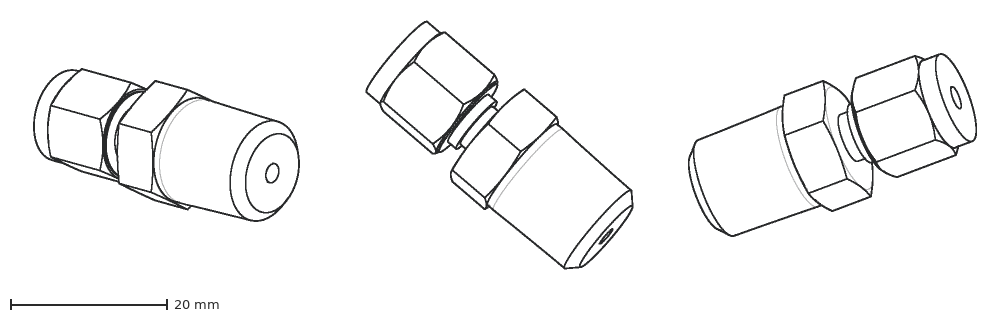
import math

import cadquery as cq

TOTAL_LENGTH = 35.6

NUT_ACROSS_FLATS = 12.0
NUT_COLLAR_DIAMETER = 11.94
NUT_COLLAR_LENGTH = 2.4
NUT_HEX_END = 11.9
NUT_CHAMFER_ANGLE = 30.0
NUT_RIM_DIAMETER = 11.4
NUT_END = 12.15

SHOULDER_DIAMETER = 8.0
SHOULDER_END = 13.55
NECK_DIAMETER = 6.4
BODY_ACROSS_FLATS = 14.0
BODY_HEX_START = 15.25
BODY_HEX_END = 21.35
BODY_CHAMFER_ANGLE = 15.0

THREAD_LARGE_DIAMETER = 13.7
THREAD_SMALL_DIAMETER = 13.15
THREAD_TAPER_START = 22.3
THREAD_CHAMFER = 1.4

TUBE_SOCKET_DIAMETER = 3.0
TUBE_SOCKET_DEPTH = NUT_END
THROUGH_BORE_DIAMETER = 2.5


def cylinder(start, end, diameter):
    """Solid cylinder along X between two stations."""
    return cq.Workplane("YZ").workplane(offset=start).circle(diameter / 2).extrude(end - start)


def revolve_profile(points):
    """Turn a closed (x, radius) outline about the X axis."""
    return cq.Workplane("XY").polyline(points).close().revolve(360, (0, 0, 0), (1, 0, 0))


def chamfered_hex(start, end, across_flats, chamfer_angle):
    """Hexagon with corners at +Z and -Z, both ends turned to a cone that meets the flats."""
    across_corners = across_flats / math.cos(math.radians(30))
    prism = (
        cq.Workplane("YZ")
        .workplane(offset=start)
        .polygon(6, across_corners)
        .extrude(end - start)
        .rotate((0, 0, 0), (1, 0, 0), 90)
    )
    face_radius = across_flats / 2
    cone_height = across_corners - face_radius
    cone_length = cone_height * math.tan(math.radians(chamfer_angle))
    envelope = revolve_profile([
        (start, 0),
        (start, face_radius),
        (start + cone_length, across_corners),
        (end - cone_length, across_corners),
        (end, face_radius),
        (end, 0),
    ])
    return prism.intersect(envelope)


def make_nut():
    collar = cylinder(0, NUT_COLLAR_LENGTH, NUT_COLLAR_DIAMETER)
    hexagon = chamfered_hex(NUT_COLLAR_LENGTH, NUT_HEX_END, NUT_ACROSS_FLATS, NUT_CHAMFER_ANGLE)
    rim = cylinder(NUT_HEX_END, NUT_END, NUT_RIM_DIAMETER)
    return collar.union(hexagon).union(rim)


def make_thread():
    end_radius = THREAD_SMALL_DIAMETER / 2
    return revolve_profile([
        (BODY_HEX_END, 0),
        (BODY_HEX_END, THREAD_LARGE_DIAMETER / 2),
        (THREAD_TAPER_START, THREAD_LARGE_DIAMETER / 2),
        (TOTAL_LENGTH - THREAD_CHAMFER, end_radius),
        (TOTAL_LENGTH, end_radius - THREAD_CHAMFER),
        (TOTAL_LENGTH, 0),
    ])


def make_body():
    shoulder = cylinder(NUT_END, SHOULDER_END, SHOULDER_DIAMETER)
    neck = cylinder(SHOULDER_END, BODY_HEX_START, NECK_DIAMETER)
    hexagon = chamfered_hex(BODY_HEX_START, BODY_HEX_END, BODY_ACROSS_FLATS, BODY_CHAMFER_ANGLE)
    return shoulder.union(neck).union(hexagon).union(make_thread())


def make_bore():
    socket = cylinder(0, TUBE_SOCKET_DEPTH, TUBE_SOCKET_DIAMETER)
    through_bore = cylinder(0, TOTAL_LENGTH, THROUGH_BORE_DIAMETER)
    return socket.union(through_bore)


result = make_nut().union(make_body()).cut(make_bore())